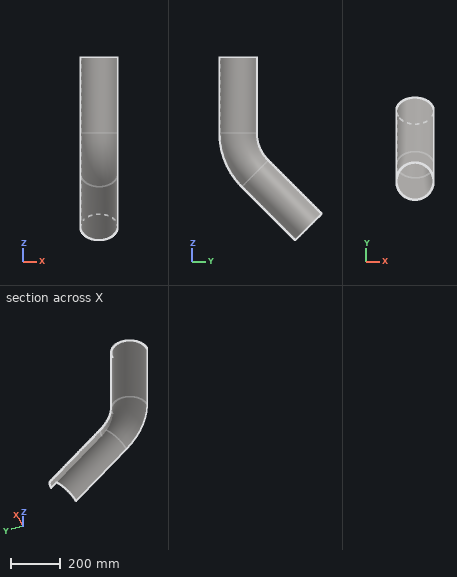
import cadquery as cq
import math

outer_diameter = 152.4
inner_diameter = 146.3
leg_length = 304.8
bend_radius = 1.5 * outer_diameter
bend_angle = 45.0


def bend_point(angle_deg):
    """Centreline point (Y, Z) after turning by an angle; the bend starts at the origin."""
    angle = math.radians(angle_deg)
    return (bend_radius * (1 - math.cos(angle)), -bend_radius * math.sin(angle))


def centreline():
    """Vertical upper leg, then a bend towards +Y, then the sloping lower leg."""
    bend_end = bend_point(bend_angle)
    slope = math.radians(bend_angle)
    lower_end = (
        bend_end[0] + leg_length * math.sin(slope),
        bend_end[1] - leg_length * math.cos(slope),
    )
    return (
        cq.Workplane("YZ")
        .moveTo(0, leg_length)
        .lineTo(0, 0)
        .threePointArc(bend_point(bend_angle / 2), bend_end)
        .lineTo(*lower_end)
    )


def pipe():
    """Ring-shaped wall swept along the centreline, open at both ends."""
    wall_section = (
        cq.Workplane("XY")
        .workplane(offset=leg_length)
        .circle(outer_diameter / 2)
        .circle(inner_diameter / 2)
    )
    return wall_section.sweep(centreline())


result = pipe()